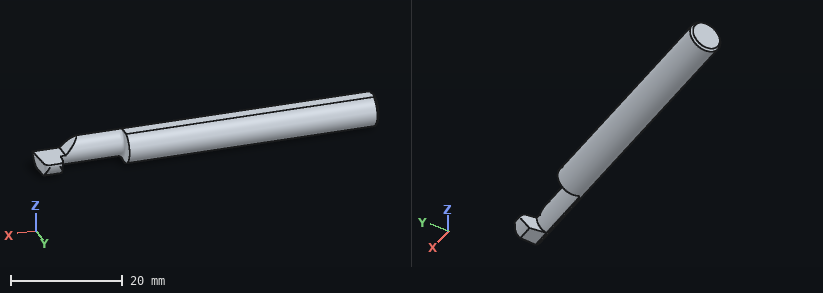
import cadquery as cq
import math

overall_length = 63.5
shank_diameter = 6.35
shank_radius = shank_diameter / 2
shank_length = 47.25
end_chamfer = 0.4
flat_depth = 0.25

neck_back_y = 0.35
neck_edge_y = -1.65
neck_edge_z = math.sqrt(shank_radius**2 - neck_edge_y**2)
neck_rise = neck_back_y - neck_edge_y
neck_radius = (neck_rise**2 + neck_edge_z**2) / (2 * neck_rise)
neck_center_y = neck_back_y - neck_radius
neck_root_radius = 0.65

ramp_end_x = 58.4
ramp_angle = 45
head_root_x = 59.35
neck_end_x = 61.0
head_side_angle = 6
head_front_angle = 3.5
head_corner_radius = 1.0
head_depth = neck_edge_z
relief_angle = 4


def bar(radius, center_y, start_x, end_x):
    """Round bar parallel to X."""
    start_plane = cq.Workplane("YZ", origin=(start_x, center_y, 0))
    return start_plane.circle(radius).extrude(end_x - start_x)


def make_shank():
    """Full round shank with a chamfered end."""
    return bar(shank_radius, 0, 0, shank_length).faces("<X").chamfer(end_chamfer)


def make_neck():
    """Lens-shaped neck whose back round flares into the shank shoulder."""
    flare_end_x = shank_length + neck_root_radius
    flare_radius = neck_radius + neck_root_radius
    arc_offset = neck_root_radius * math.sqrt(0.5)
    profile = (
        cq.Workplane("XY")
        .moveTo(shank_length, neck_center_y)
        .lineTo(shank_length, neck_center_y + flare_radius)
        .threePointArc(
            (flare_end_x - arc_offset, neck_center_y + flare_radius - arc_offset),
            (flare_end_x, neck_center_y + neck_radius),
        )
        .lineTo(neck_end_x, neck_center_y + neck_radius)
        .lineTo(neck_end_x, neck_center_y)
        .close()
    )
    neck_round = profile.revolve(360, (0, neck_center_y, 0), (1, neck_center_y, 0))
    neck = neck_round.intersect(bar(shank_radius, 0, shank_length, neck_end_x))
    return neck.cut(make_ramp_cut())


def make_ramp_cut():
    """Chip space: everything above the rake plane and the ramp leading down to it."""
    ramp_run = shank_radius / math.tan(math.radians(ramp_angle))
    return (
        cq.Workplane("XZ", origin=(0, shank_radius, 0))
        .moveTo(ramp_end_x, 0)
        .lineTo(overall_length, 0)
        .lineTo(overall_length, shank_radius)
        .lineTo(ramp_end_x - ramp_run, shank_radius)
        .close()
        .extrude(shank_diameter)
    )


def make_head():
    """Rounded cutting head, tapered below the rake face for clearance."""
    side_slope = math.tan(math.radians(head_side_angle))
    front_slope = math.tan(math.radians(head_front_angle))
    tip_y = shank_radius
    base_y = -shank_diameter

    def side_x(y):
        return head_root_x + (y - neck_back_y) * side_slope

    def front_x(y):
        return overall_length - (y + shank_radius) * front_slope

    corners = [
        (side_x(base_y), base_y),
        (front_x(base_y), base_y),
        (front_x(tip_y), tip_y),
        (side_x(tip_y), tip_y),
    ]
    outline = (
        cq.Sketch()
        .polygon(corners + corners[:1])
        .vertices(">Y")
        .fillet(head_corner_radius)
    )
    blank = cq.Workplane("XY").placeSketch(outline).extrude(-head_depth, taper=relief_angle)
    return blank.intersect(bar(shank_radius, 0, ramp_end_x, overall_length))


def make_flat_cut():
    """Material above the flat, along the whole part."""
    flat_z = shank_radius - flat_depth
    flat_plane = cq.Workplane("XY", origin=(0, 0, flat_z))
    return flat_plane.rect(2 * overall_length, shank_diameter).extrude(flat_depth)


result = make_shank().union(make_neck()).union(make_head()).cut(make_flat_cut())